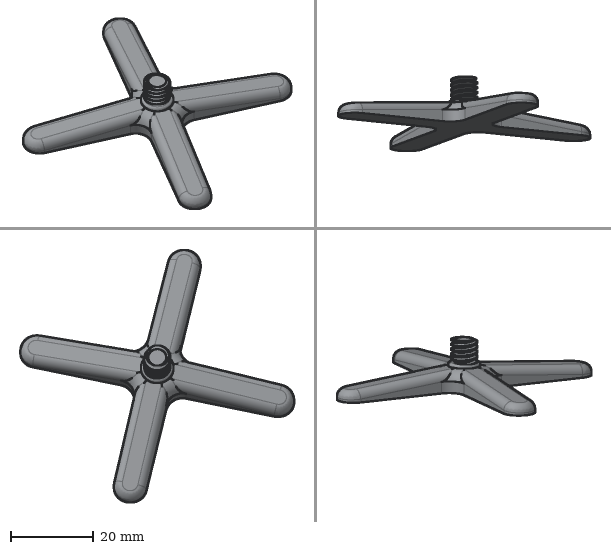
import cadquery as cq
import math

span = 50.5
leg_width = 8.1
hub_height = 5.8
leg_end_height = 2.6
edge_radius = 2.1
crotch_radius = 4.05
web_peak = 5.45
web_bulge = 0.6
leg_count = 4
first_leg_angle = 45.0

collar_diameter = 8.0
collar_top = 6.25
collar_rounding = 0.75

total_height = 11.9
core_diameter = 4.4
thread_diameter = 6.4
thread_pitch = 1.2
thread_crest_width = 0.15
thread_root_gap = 0.15
thread_overlap = 0.1
thread_phase_height = 6.6
thread_phase_angle = 180.0
lead_in_turns = 2

leg_half_width = leg_width / 2
tip_centre = (span / 2 - leg_half_width) * math.sqrt(2)
leg_length = tip_centre + leg_half_width
leg_step = 360.0 / leg_count
core_radius = core_diameter / 2
web_reach = leg_half_width + crotch_radius
web_wall_height = hub_height - (hub_height - leg_end_height) * web_reach / leg_length - edge_radius
stud_length = total_height - collar_top


def make_leg():
    """One round-ended leg along +X with rounded upper edges and a top that slopes down to the tip."""
    outline = (
        cq.Workplane("XY")
        .moveTo(0, -leg_half_width)
        .lineTo(tip_centre, -leg_half_width)
        .threePointArc((leg_length, 0), (tip_centre, leg_half_width))
        .lineTo(0, leg_half_width)
        .close()
        .extrude(hub_height)
    )
    slope = (
        cq.Workplane("XZ")
        .polyline([(0, 0), (leg_length, 0), (leg_length, leg_end_height), (0, hub_height)])
        .close()
        .extrude(leg_half_width, both=True)
    )
    blank = outline.intersect(slope)
    root_edges = blank.faces("<X").edges().vals()
    top_edges = [
        edge for edge in blank.faces(">Z").edges().vals()
        if not any(edge.isSame(root_edge) for root_edge in root_edges)
    ]
    return blank.newObject(top_edges).fillet(edge_radius)


def make_crotch_web():
    """Wedge filling the angle between two legs, hollowed by a cutter that flares towards the collar."""
    wedge = (
        cq.Workplane("XY")
        .polyline([(0, 0), (web_reach, leg_half_width), (web_reach, web_reach), (leg_half_width, web_reach)])
        .close()
        .extrude(web_peak)
    )
    flare_radius = web_reach * math.sqrt(2) - collar_diameter / 2
    flare_width = flare_radius - crotch_radius
    flare_height = web_peak - web_wall_height
    flare_length = math.hypot(flare_width, flare_height)
    flare_middle = (
        crotch_radius + flare_width / 2 - web_bulge * flare_height / flare_length,
        web_wall_height + flare_height / 2 + web_bulge * flare_width / flare_length,
    )
    cutter = (
        cq.Workplane("XZ")
        .lineTo(crotch_radius, 0)
        .lineTo(crotch_radius, web_wall_height)
        .threePointArc(flare_middle, (flare_radius, web_peak))
        .lineTo(0, web_peak)
        .close()
        .revolve(360, (0, 0, 0), (0, 1, 0))
        .translate((web_reach, web_reach, 0))
    )
    return wedge.cut(cutter)


def make_collar():
    return (
        cq.Workplane("XY")
        .circle(collar_diameter / 2)
        .extrude(collar_top)
        .faces(">Z")
        .edges()
        .fillet(collar_rounding)
    )


def make_stand():
    leg = make_leg()
    web = make_crotch_web()
    stand = make_collar()
    for index in range(leg_count):
        angle = first_leg_angle + index * leg_step
        stand = stand.union(leg.rotate((0, 0, 0), (0, 0, 1), angle))
        stand = stand.union(web.rotate((0, 0, 0), (0, 0, 1), angle))
    return stand


def make_stud_core():
    return cq.Workplane("XY").workplane(offset=collar_top).circle(core_radius).extrude(stud_length)


def make_thread():
    """Right-handed V thread wound around the core and cut flat at both ends of the stud."""
    inner_radius = core_radius - thread_overlap
    crest_radius = thread_diameter / 2
    root_half = (thread_pitch - thread_root_gap) / 2
    crest_half = thread_crest_width / 2
    flank_slope = (root_half - crest_half) / (crest_radius - core_radius)
    inner_half = root_half + flank_slope * thread_overlap
    start_height = thread_phase_height - thread_pitch * (thread_phase_angle / 360 + lead_in_turns)
    helix = cq.Wire.makeHelix(thread_pitch, stud_length + 2 * lead_in_turns * thread_pitch, core_radius)
    ridge = (
        cq.Workplane("XZ")
        .moveTo(inner_radius, -inner_half)
        .lineTo(crest_radius, -crest_half)
        .lineTo(crest_radius, crest_half)
        .lineTo(inner_radius, inner_half)
        .close()
        .sweep(cq.Workplane(helix), isFrenet=True)
        .translate((0, 0, start_height))
    )
    bore = cq.Workplane("XY").circle(core_radius).extrude(2 * total_height)
    stud_slab = cq.Workplane("XY").workplane(offset=collar_top).circle(thread_diameter).extrude(stud_length)
    return ridge.cut(bore).intersect(stud_slab)


stand = make_stand()
stud_core = make_stud_core()
thread = make_thread()

result = cq.Compound.makeCompound([*stand.solids().vals(), stud_core.val(), *thread.solids().vals()])